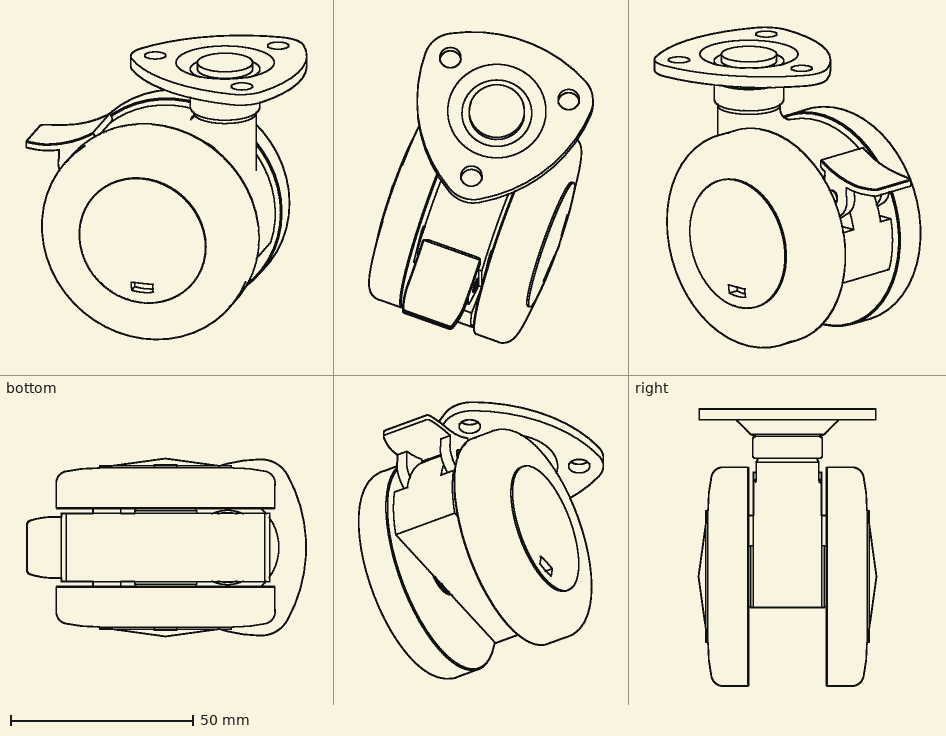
import cadquery as cq
import math


WHEEL_RADIUS = 30.0
WHEEL_INNER_Y = 10.55
WHEEL_TREAD_END_Y = 16.9
WHEEL_EDGE_CHAMFER = 0.3
SHOULDER_RADIUS, SHOULDER_Y, SHOULDER_FULLNESS = 26.8, 20.95, 0.73
RIM_RADIUS, RIM_Y = 22.95, 21.6
CAP_RADIUS, CAP_BASE_Y, CAP_Y = 18.05, 21.8, 22.3
CONE_RADIUS, CONE_APEX_Y = 15.0, 24.4
NOTCH_WIDTH, NOTCH_INNER_RADIUS, NOTCH_DEPTH = 6.1, 12.25, 3.05

SWIVEL_X = 17.0
PLATE_TOP_Z, PLATE_THICKNESS = 46.0, 3.05
PLATE_TIP_REACH, PLATE_SIDE_REACH, PLATE_TIP_RADIUS = 26.6, 21.6, 8.4
HOLE_CIRCLE_RADIUS, HOLE_DIAMETER = 20.0, 5.8
DISH_TOP_RADIUS, DISH_FLOOR_RADIUS, DISH_DEPTH = 13.5, 9.6, 1.9
SKIRT_TOP_RADIUS, SKIRT_BOTTOM_RADIUS, SKIRT_HEIGHT = 14.1, 10.2, 3.9

COLLAR_RADIUS, COLLAR_TOP_Z, COLLAR_BOTTOM_Z, COLLAR_FILLET = 9.6, 38.4, 32.35, 0.85
STEM_RADIUS = 7.6

NECK_RADIUS, NECK_CHAMFER_HEIGHT, NECK_CHAMFER_WIDTH = 8.6, 1.1, 0.45
NECK_BLEND = 2.9
DRUM_RADIUS, DRUM_HALF_WIDTH = 28.5, 9.3
HUB_RADIUS, HUB_SHOULDER_Y, HUB_END_RADIUS = 8.5, 10.0, 8.3
RIB_HALF_WIDTH = 5.35
SLOT_BACK_X, SLOT_FLOOR_Z = -19.9, 6.1
STOP_FOOT_Z, STOP_TOP_Z, STOP_FRONT_X, STOP_BACK_X = 6.8, 16.75, -14.0, -12.25

LEVER_TIP_X, LEVER_HALF_WIDTH, LEVER_THICKNESS = -37.95, 8.4, 1.8
LEVER_TOP_Z, LEVER_BEND_X, LEVER_BEND_ANGLE, LEVER_BEND_RADIUS = 19.9, -34.65, 33.0, 29.8
LEVER_TIP_HALF_WIDTH, LEVER_TAPER_END_X = 7.1, -31.1
LEVER_TIP_CORNER, LEVER_END_CORNER, LEVER_EDGE_CHAMFER = 1.0, 1.45, 0.2
LEVER_TAPER_FULLNESS = 0.7
PIVOT_X, PIVOT_Z = -22.65, 15.0
LUG_RADIUS, LUG_ARC_MID_ANGLE, LUG_ARC_END_ANGLE = 5.6, 27, 53
LUG_FRONT_X, LUG_FOOT_X, LUG_FOOT_Z = -28.0, -21.0, 7.1
PIVOT_BOSS_RADIUS, PIVOT_BOSS_HEIGHT = 2.0, 0.3

PLATE_BOTTOM_Z = PLATE_TOP_Z - PLATE_THICKNESS
LEVER_BEND_CENTRE_Z = LEVER_TOP_Z + LEVER_BEND_RADIUS


def side_prism(sketch, y_low, y_high):
    """Extrude a closed XZ workplane outline from y_low to y_high."""
    return sketch.extrude(-(y_high - y_low)).translate((0, y_low, 0))


def y_cylinder(radius, half_length, x=0.0, z=0.0):
    """Cylinder along Y, centred on the XZ plane."""
    return cq.Workplane("XZ", origin=(x, 0, z)).circle(radius).extrude(half_length, both=True)


def make_wheel(side):
    """Wheel with a rounded outer shoulder and a stepped, conical hub cap; side is +1 or -1 along Y."""
    shoulder_mid_radius = SHOULDER_RADIUS + (WHEEL_RADIUS - SHOULDER_RADIUS) * SHOULDER_FULLNESS
    shoulder_mid_y = WHEEL_TREAD_END_Y + (SHOULDER_Y - WHEEL_TREAD_END_Y) * SHOULDER_FULLNESS
    wheel = (
        cq.Workplane("XY")
        .moveTo(0, WHEEL_INNER_Y)
        .lineTo(WHEEL_RADIUS - WHEEL_EDGE_CHAMFER, WHEEL_INNER_Y)
        .lineTo(WHEEL_RADIUS, WHEEL_INNER_Y + WHEEL_EDGE_CHAMFER)
        .lineTo(WHEEL_RADIUS, WHEEL_TREAD_END_Y)
        .threePointArc((shoulder_mid_radius, shoulder_mid_y), (SHOULDER_RADIUS, SHOULDER_Y))
        .lineTo(RIM_RADIUS, RIM_Y)
        .lineTo(CAP_RADIUS, CAP_BASE_Y)
        .lineTo(CAP_RADIUS, CAP_Y)
        .lineTo(CONE_RADIUS, CAP_Y)
        .lineTo(0, CONE_APEX_Y)
        .close()
        .revolve(360, (0, 0, 0), (0, 1, 0))
    )
    notch = cq.Workplane("XY").box(
        NOTCH_WIDTH, CONE_APEX_Y - CAP_Y + NOTCH_DEPTH, CONE_RADIUS - NOTCH_INNER_RADIUS,
        centered=(True, False, False),
    ).translate((0, CAP_Y - NOTCH_DEPTH, -CONE_RADIUS))
    notch = notch.intersect(y_cylinder(CONE_RADIUS, CONE_APEX_Y))
    wheel = wheel.cut(notch)
    if side < 0:
        wheel = wheel.mirror("XZ")
    return wheel


def plate_outline():
    """Three-lobed outline: a tip arc at every 120 degrees joined by tangent large-radius sides."""
    tip_centre = PLATE_TIP_REACH - PLATE_TIP_RADIUS
    reach_gap = PLATE_SIDE_REACH - PLATE_TIP_RADIUS
    side_offset = (tip_centre**2 - reach_gap**2) / (2 * reach_gap - tip_centre)
    tangent_angle = math.degrees(math.atan2(
        side_offset * math.sin(math.radians(60)),
        tip_centre + side_offset * math.cos(math.radians(60)),
    ))

    def polar(radius, angle):
        return cq.Vector(radius * math.cos(math.radians(angle)), radius * math.sin(math.radians(angle)))

    def tip_point(tip_angle, offset):
        return polar(tip_centre, tip_angle) + polar(PLATE_TIP_RADIUS, tip_angle + offset)

    tip_angles = [180, 300, 420]
    start = tip_point(tip_angles[0], -tangent_angle)
    outline = cq.Workplane("XY").moveTo(start.x, start.y)
    for tip_angle in tip_angles:
        outline = outline.threePointArc(tip_point(tip_angle, 0), tip_point(tip_angle, tangent_angle))
        outline = outline.threePointArc(
            polar(PLATE_SIDE_REACH, tip_angle + 60), tip_point(tip_angle + 120, -tangent_angle)
        )
    return outline.close()


def make_plate():
    """Mounting plate with a conical skirt below, a dish above and a bore for the stem."""
    plate = plate_outline().extrude(PLATE_THICKNESS).translate((0, 0, PLATE_BOTTOM_Z))
    skirt = (
        cq.Workplane("XZ")
        .moveTo(0, PLATE_BOTTOM_Z)
        .lineTo(SKIRT_TOP_RADIUS, PLATE_BOTTOM_Z)
        .lineTo(SKIRT_BOTTOM_RADIUS, PLATE_BOTTOM_Z - SKIRT_HEIGHT)
        .lineTo(COLLAR_RADIUS - COLLAR_FILLET, COLLAR_TOP_Z)
        .lineTo(0, COLLAR_TOP_Z)
        .close()
        .revolve(360, (0, 0, 0), (0, 1, 0))
    )
    dish = (
        cq.Workplane("XZ")
        .moveTo(0, PLATE_TOP_Z)
        .lineTo(DISH_TOP_RADIUS, PLATE_TOP_Z)
        .lineTo(DISH_FLOOR_RADIUS, PLATE_TOP_Z - DISH_DEPTH)
        .lineTo(0, PLATE_TOP_Z - DISH_DEPTH)
        .close()
        .revolve(360, (0, 0, 0), (0, 1, 0))
    )
    holes = (
        cq.Workplane("XY", origin=(0, 0, PLATE_BOTTOM_Z))
        .polarArray(HOLE_CIRCLE_RADIUS, 180, 360, 3)
        .circle(HOLE_DIAMETER / 2)
        .extrude(PLATE_THICKNESS)
    )
    bore = (
        cq.Workplane("XY", origin=(0, 0, COLLAR_TOP_Z))
        .circle(STEM_RADIUS)
        .extrude(PLATE_TOP_Z - COLLAR_TOP_Z)
    )
    return plate.union(skirt).cut(dish).cut(holes).cut(bore).translate((SWIVEL_X, 0, 0))


def make_stem():
    """Swivel stem: a rounded collar under the plate and a pin up through the plate bore."""
    collar = (
        cq.Workplane("XY", origin=(SWIVEL_X, 0, COLLAR_BOTTOM_Z))
        .circle(COLLAR_RADIUS)
        .extrude(COLLAR_TOP_Z - COLLAR_BOTTOM_Z)
        .edges()
        .fillet(COLLAR_FILLET)
    )
    pin = (
        cq.Workplane("XY", origin=(SWIVEL_X, 0, COLLAR_BOTTOM_Z))
        .circle(STEM_RADIUS)
        .extrude(PLATE_TOP_Z - COLLAR_BOTTOM_Z)
    )
    return collar.union(pin)


def make_housing():
    """Flat-bottomed drum with the swivel neck, wheel hubs, lever slots and side stops."""
    drum = y_cylinder(DRUM_RADIUS, DRUM_HALF_WIDTH + 2 * NECK_BLEND)
    neck = (
        cq.Workplane("XY", origin=(SWIVEL_X, 0, 0))
        .circle(NECK_RADIUS)
        .extrude(COLLAR_BOTTOM_Z)
    )
    neck_joint = cq.selectors.BoxSelector(
        (SWIVEL_X - 2 * NECK_RADIUS, -DRUM_HALF_WIDTH, 0),
        (SWIVEL_X + 2 * NECK_RADIUS, DRUM_HALF_WIDTH, COLLAR_BOTTOM_Z - NECK_BLEND),
        boundingbox=True,
    )
    housing = drum.union(neck).edges(neck_joint).fillet(NECK_BLEND)
    trim = cq.Workplane("XY").box(4 * DRUM_RADIUS, 2 * DRUM_HALF_WIDTH, 4 * DRUM_RADIUS)
    housing = housing.intersect(trim)
    housing = housing.faces(">Z").edges().chamfer(NECK_CHAMFER_HEIGHT, NECK_CHAMFER_WIDTH)

    below = cq.Workplane("XY").box(
        2 * DRUM_RADIUS, 2 * DRUM_HALF_WIDTH, DRUM_RADIUS, centered=(True, True, False)
    ).translate((0, 0, -HUB_RADIUS - DRUM_RADIUS))
    housing = housing.cut(below)

    slot = cq.Workplane("XY").box(
        DRUM_RADIUS, DRUM_HALF_WIDTH - RIB_HALF_WIDTH, DRUM_RADIUS, centered=False
    ).translate((SLOT_BACK_X - DRUM_RADIUS, RIB_HALF_WIDTH, SLOT_FLOOR_Z))
    housing = housing.cut(slot).cut(slot.mirror("XZ"))

    hubs = y_cylinder(HUB_RADIUS, HUB_SHOULDER_Y).union(y_cylinder(HUB_END_RADIUS, WHEEL_INNER_Y))
    stops = (
        cq.Workplane("XZ")
        .polyline([
            (SLOT_BACK_X, STOP_FOOT_Z),
            (STOP_FRONT_X, STOP_TOP_Z),
            (STOP_BACK_X, STOP_TOP_Z),
            (STOP_BACK_X, STOP_FOOT_Z),
        ])
        .close()
        .extrude(WHEEL_INNER_Y, both=True)
    )
    return housing.union(hubs).union(stops)


def lever_blade():
    """Pedal blade: a flat tip that bends upward, trimmed to a tapered, round-cornered plan."""
    bend = math.radians(LEVER_BEND_ANGLE)
    bottom_radius = LEVER_BEND_RADIUS + LEVER_THICKNESS

    def bend_point(radius, angle):
        return (LEVER_BEND_X + radius * math.sin(angle), LEVER_BEND_CENTRE_Z - radius * math.cos(angle))

    profile = (
        cq.Workplane("XZ")
        .moveTo(LEVER_TIP_X, LEVER_TOP_Z)
        .lineTo(LEVER_BEND_X, LEVER_TOP_Z)
        .threePointArc(bend_point(LEVER_BEND_RADIUS, bend / 2), bend_point(LEVER_BEND_RADIUS, bend))
        .lineTo(*bend_point(bottom_radius, bend))
        .threePointArc(bend_point(bottom_radius, bend / 2), bend_point(bottom_radius, 0))
        .lineTo(LEVER_TIP_X, LEVER_TOP_Z - LEVER_THICKNESS)
        .close()
        .extrude(LEVER_HALF_WIDTH, both=True)
    )
    end_x = bend_point(bottom_radius, bend)[0]
    taper_mid = (
        (LEVER_TIP_X + LEVER_TAPER_END_X) / 2,
        LEVER_TIP_HALF_WIDTH + LEVER_TAPER_FULLNESS * (LEVER_HALF_WIDTH - LEVER_TIP_HALF_WIDTH),
    )
    plan = (
        cq.Workplane("XY")
        .moveTo(LEVER_TIP_X, -LEVER_TIP_HALF_WIDTH)
        .threePointArc((taper_mid[0], -taper_mid[1]), (LEVER_TAPER_END_X, -LEVER_HALF_WIDTH))
        .lineTo(end_x, -LEVER_HALF_WIDTH)
        .lineTo(end_x, LEVER_HALF_WIDTH)
        .lineTo(LEVER_TAPER_END_X, LEVER_HALF_WIDTH)
        .threePointArc(taper_mid, (LEVER_TIP_X, LEVER_TIP_HALF_WIDTH))
        .close()
        .extrude(LEVER_BEND_CENTRE_Z)
    )
    plan = plan.edges("|Z and <X").fillet(LEVER_TIP_CORNER)
    plan = plan.edges("|Z and >X").fillet(LEVER_END_CORNER)
    blade = profile.intersect(plan)
    upper_outline = cq.selectors.NearestToPointSelector((LEVER_TIP_X, 0, LEVER_TOP_Z))
    return blade.edges(upper_outline).chamfer(LEVER_EDGE_CHAMFER)


def lever_lug():
    """Side lug on +Y: rounded about the pivot, reaching up to the blade, with a pivot boss outside."""
    blade_mid_radius = LEVER_BEND_RADIUS + LEVER_THICKNESS / 2

    def blade_mid_z(x):
        return LEVER_BEND_CENTRE_Z - math.sqrt(blade_mid_radius**2 - (x - LEVER_BEND_X) ** 2)

    def arc_point(angle):
        """Point on the lug's rounded front, at an angle in degrees below the -X direction."""
        return (
            PIVOT_X - LUG_RADIUS * math.cos(math.radians(angle)),
            PIVOT_Z - LUG_RADIUS * math.sin(math.radians(angle)),
        )

    arc_start_z = PIVOT_Z + math.sqrt(LUG_RADIUS**2 - (PIVOT_X - LUG_FRONT_X) ** 2)
    mid_x = (LUG_FRONT_X + SLOT_BACK_X) / 2
    lug_web = (
        cq.Workplane("XZ")
        .moveTo(LUG_FRONT_X, blade_mid_z(LUG_FRONT_X))
        .lineTo(LUG_FRONT_X, arc_start_z)
        .threePointArc(arc_point(LUG_ARC_MID_ANGLE), arc_point(LUG_ARC_END_ANGLE))
        .lineTo(LUG_FOOT_X, LUG_FOOT_Z)
        .lineTo(SLOT_BACK_X, LUG_FOOT_Z)
        .lineTo(SLOT_BACK_X, blade_mid_z(SLOT_BACK_X))
        .threePointArc((mid_x, blade_mid_z(mid_x)), (LUG_FRONT_X, blade_mid_z(LUG_FRONT_X)))
        .close()
    )
    lug = side_prism(lug_web, RIB_HALF_WIDTH, LEVER_HALF_WIDTH)
    boss = side_prism(
        cq.Workplane("XZ", origin=(PIVOT_X, 0, PIVOT_Z)).circle(PIVOT_BOSS_RADIUS),
        RIB_HALF_WIDTH,
        LEVER_HALF_WIDTH + PIVOT_BOSS_HEIGHT,
    )
    return lug.union(boss)


def make_lever():
    """Brake lever: the pedal blade carried on two lugs that sit in the housing slots."""
    lug = lever_lug()
    return lever_blade().union(lug).union(lug.mirror("XZ"))


plate = make_plate()
stem = make_stem()
housing = make_housing()
lever = make_lever()
wheels = [make_wheel(side) for side in (-1, 1)]

result = cq.Compound.makeCompound(
    [plate.val(), stem.val(), housing.val(), lever.val()] + [wheel.val() for wheel in wheels]
)